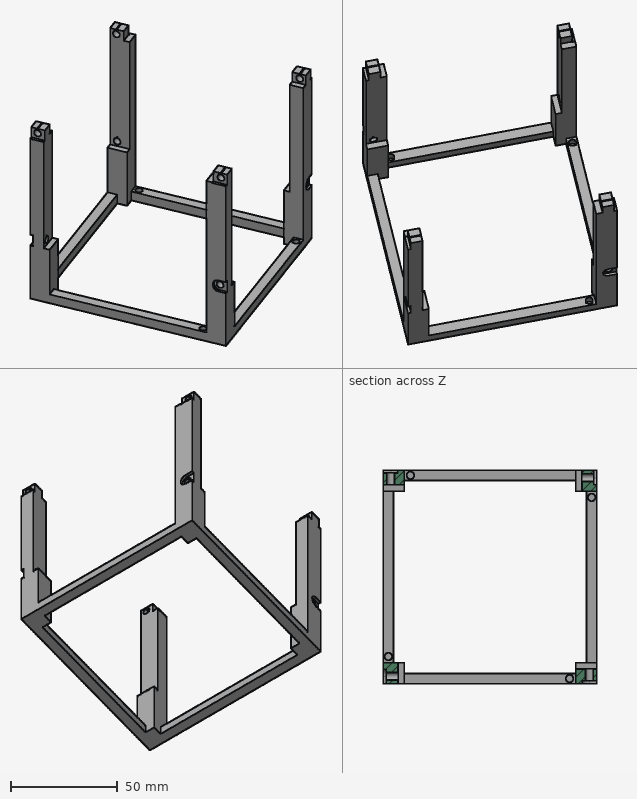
import cadquery as cq

side = 100.0
total_height = 95.3
half = side / 2
bar = 5.0

post = 10.0
post_thin = 7.0
lower_ledge_z = 30.0
post_top_z = 90.0

peg_setback = 1.4
peg_foot_z = 89.6
peg_hole_inset = 3.2
peg_hole_drop = 2.6

hole_radius = 3.5 / 2
slit_width = 0.4
post_slit_reach = 2.2

pocket_radius = 3.1
pocket_depth = 1.4
pocket_inset = 3.6
pocket_z = 32.7

bar_hole_offset = 2.8
bar_hole_depth = 4.0


def box(x_range, y_range, z_range):
    """Box spanning three (low, high) ranges."""
    (x0, x1), (y0, y1), (z0, z1) = x_range, y_range, z_range
    return cq.Workplane("XY").box(x1 - x0, y1 - y0, z1 - z0, centered=False).translate((x0, y0, z0))


def slit_hole(plane, across, z, slit_reach, length):
    """Horizontal round hole with a narrow slit rising from its centre."""
    centered = plane.center(across, z)
    hole = centered.circle(hole_radius).extrude(length)
    slit = centered.center(0, slit_reach / 2).rect(slit_width, slit_reach).extrude(length)
    return hole.union(slit)


def cut_pocket(corner):
    """Pocket in the -X face, open to the -Y edge, with a hole through to the thinned side."""
    outer_face = cq.Workplane("YZ", origin=(-half, 0, 0))
    hole_y = -half + pocket_inset
    round_end = outer_face.center(hole_y, pocket_z).circle(pocket_radius).extrude(pocket_depth)
    open_end = box(
        (-half, -half + pocket_depth),
        (-half, hole_y),
        (pocket_z - pocket_radius, pocket_z + pocket_radius),
    )
    hole = slit_hole(outer_face, hole_y, pocket_z, post_slit_reach, post_thin)
    return corner.cut(round_end).cut(open_end).cut(hole)


def quarter():
    """The (-X, -Y) post with the base bar that runs from it along +X."""
    post_range = (-half, -half + post)
    lower_post = box(post_range, post_range, (0, lower_ledge_z))
    upper_post = box((-half, -half + post_thin), post_range, (0, post_top_z))
    base_bar = box((-half, half - post), (-half, -half + bar), (0, bar))
    bar_hole = (
        cq.Workplane("XY", origin=(0, 0, bar - bar_hole_depth))
        .center(half - post - bar_hole_offset, -half + bar / 2)
        .circle(hole_radius)
        .extrude(bar_hole_depth)
    )
    corner = cut_pocket(lower_post.union(upper_post))
    return corner.union(base_bar.cut(bar_hole))


def add_peg(body, x_sign, y_sign):
    """Stand a drilled peg on one post, with a shallow recess on its outer Y side."""
    outer_y = y_sign * half
    peg_outer_y = y_sign * (half - peg_setback)
    peg_inner_y = y_sign * (half - post_thin)
    x_range = sorted((x_sign * half, x_sign * (half - post_thin)))
    z_range = (peg_foot_z, total_height)

    recess = box(x_range, sorted((outer_y, peg_outer_y)), z_range)
    peg = box(x_range, sorted((peg_outer_y, peg_inner_y)), z_range)
    hole_start = cq.Workplane("XZ", origin=(0, max(peg_outer_y, peg_inner_y), 0))
    hole = slit_hole(
        hole_start,
        x_sign * (half - peg_hole_inset),
        total_height - peg_hole_drop,
        peg_hole_drop,
        abs(peg_outer_y - peg_inner_y),
    )
    return body.cut(recess).union(peg).cut(hole)


result = quarter()
for turn in (90, 180, 270):
    result = result.union(quarter().rotate((0, 0, 0), (0, 0, 1), turn))

for x_sign in (-1, 1):
    for y_sign in (-1, 1):
        result = add_peg(result, x_sign, y_sign)